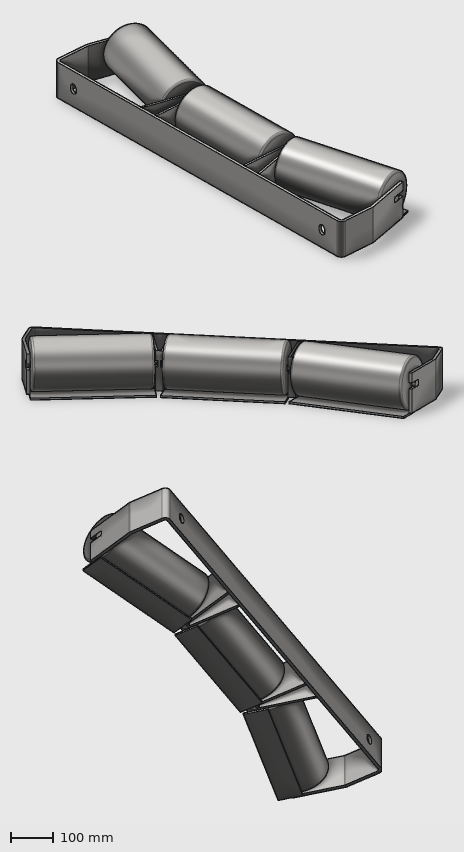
import cadquery as cq
import math


frame_length = 1000.0
frame_height = 100.0
frame_thickness = 8.0
bend_radius = 14.0
arm_rise = 28.0
bolt_slot_width = 19.0
bolt_slot_height = 27.0
bolt_slot_x = 433.0

bracket_thickness = 6.0
web_rise = 23.0

roller_diameter = 133.0
roller_length = 292.0
roller_rim_fillet = 5.0
roller_clearance = 1.0
shaft_diameter = 20.0
shaft_flat_height = 15.0
shaft_length = 314.0

strip_thickness = 5.0
strip_length = 301.0
strip_width = 61.0

wing_angle = 15.0
wing_x = 321.0
wing_y = 166.0
middle_y = 127.0
axis_z = strip_thickness + roller_clearance + roller_diameter / 2

wing_sin = math.sin(math.radians(wing_angle))
wing_cos = math.cos(math.radians(wing_angle))
half_span = shaft_length / 2


def place(body, x, y, angle):
    """Turn a body built at the origin about Z and move it to a roller centre."""
    return body.rotate((0, 0, 0), (0, 0, 1), angle).translate((x, y, 0))


def left_wing_point(along, across):
    """Plan position of a point given along and across the axis of the left roller."""
    x = -wing_x + along * wing_cos + across * wing_sin
    y = wing_y - along * wing_sin + across * wing_cos
    return x, y


def left_wing_point_at_x(along, x):
    """Point where the line at a fixed distance along the left roller crosses a given x."""
    return left_wing_point(along, (x + wing_x - along * wing_cos) / wing_sin)


def left_wing_point_at_y(along, y):
    """Point where the line at a fixed distance along the left roller crosses a given y."""
    return left_wing_point(along, (y - wing_y + along * wing_sin) / wing_cos)


def mirrored(points):
    """The points reflected in x = 0, in reverse order."""
    return [(-x, y) for x, y in reversed(points)]


def upright(points, height):
    """Extrude a plan outline upward from the level of the strip tops."""
    return cq.Workplane("XY").workplane(offset=strip_thickness).polyline(points).close().extrude(height)


def round_uprights(body, points, radius):
    """Fillet the upright frame edges that stand on the given plan points."""
    for x, y in points:
        middle = (x, y, strip_thickness + frame_height / 2)
        body = body.edges(cq.NearestToPointSelector(middle)).fillet(radius)
    return body


def make_shaft():
    """Round shaft along X with a flat on its upper and lower side."""
    shaft = cq.Workplane("YZ", origin=(-half_span, 0, axis_z)).circle(shaft_diameter / 2).extrude(shaft_length)
    flats = cq.Workplane("XY", origin=(0, 0, axis_z)).box(shaft_length, shaft_diameter, shaft_flat_height)
    return shaft.intersect(flats)


def make_roller():
    """Roller in one piece with its shaft, along X and centred on the origin in plan."""
    drum = (
        cq.Workplane("YZ", origin=(-roller_length / 2, 0, axis_z))
        .circle(roller_diameter / 2)
        .extrude(roller_length)
        .edges("%CIRCLE")
        .fillet(roller_rim_fillet)
    )
    return drum.union(make_shaft())


def make_notch_cutter():
    """Notches for both shaft ends, round under the shaft and open past the leg tips."""
    reach = 2 * arm_rise
    opening = cq.Workplane("XY", origin=(0, reach / 2, axis_z)).box(shaft_length, reach, shaft_flat_height)
    return make_shaft().union(opening)


def make_strip():
    """Flat floor strip reaching from under the roller axis toward the leg tips."""
    return cq.Workplane("XY").box(strip_length, strip_width, strip_thickness, centered=(True, False, False))


def make_frame(notches):
    """Front bar with two bent side arms that hold the outer shaft ends."""
    half = frame_length / 2
    inner = half - frame_thickness
    outer_face = -half_span
    inner_face = outer_face + frame_thickness
    outer_bend = left_wing_point_at_x(outer_face, -half)
    inner_bend = left_wing_point_at_x(inner_face, -inner)
    outer_side = [left_wing_point(outer_face, arm_rise), outer_bend, (-half, 0)]
    inner_side = [(-inner, frame_thickness), inner_bend, left_wing_point(inner_face, arm_rise)]
    frame = upright(outer_side + mirrored(outer_side) + mirrored(inner_side) + inner_side, frame_height)
    outer_bends = outer_side[1:]
    inner_bends = inner_side[:2]
    frame = round_uprights(frame, outer_bends + mirrored(outer_bends), bend_radius)
    frame = round_uprights(frame, inner_bends + mirrored(inner_bends), bend_radius - frame_thickness)
    bolt_slots = (
        cq.Workplane("XZ", origin=(0, frame_thickness, strip_thickness + frame_height / 2))
        .pushPoints([(-bolt_slot_x, 0), (bolt_slot_x, 0)])
        .slot2D(bolt_slot_height, bolt_slot_width, 90)
        .extrude(frame_thickness)
    )
    frame = frame.cut(bolt_slots)
    for notch in notches:
        frame = frame.cut(notch)
    return frame


def make_left_bracket(notches):
    """Bracket between the left and middle rollers: slanted leg, web and straight leg in one piece."""
    web_top = middle_y + web_rise
    web_bottom = web_top - bracket_thickness
    slant_near = half_span - bracket_thickness
    straight_near = -half_span + bracket_thickness
    outline = [
        left_wing_point_at_y(slant_near, frame_thickness),
        left_wing_point_at_y(slant_near, web_top),
        (straight_near, web_top),
        (straight_near, frame_thickness),
        (-half_span, frame_thickness),
        (-half_span, web_bottom),
        left_wing_point_at_y(half_span, web_bottom),
        left_wing_point_at_y(half_span, frame_thickness),
    ]
    bracket = upright(outline, frame_height)
    for notch in notches:
        bracket = bracket.cut(notch)
    return bracket


roller_places = [(-wing_x, wing_y, -wing_angle), (0, middle_y, 0), (wing_x, wing_y, wing_angle)]
rollers = [place(make_roller(), *spot) for spot in roller_places]
strips = [place(make_strip(), *spot) for spot in roller_places]
left_notch, middle_notch, right_notch = [place(make_notch_cutter(), *spot) for spot in roller_places]

frame = make_frame([left_notch, right_notch])
left_bracket = make_left_bracket([left_notch, middle_notch])
brackets = [left_bracket, left_bracket.mirror("YZ")]

bodies = [frame, *brackets, *rollers, *strips]
result = cq.Compound.makeCompound([body.solids().val() for body in bodies])